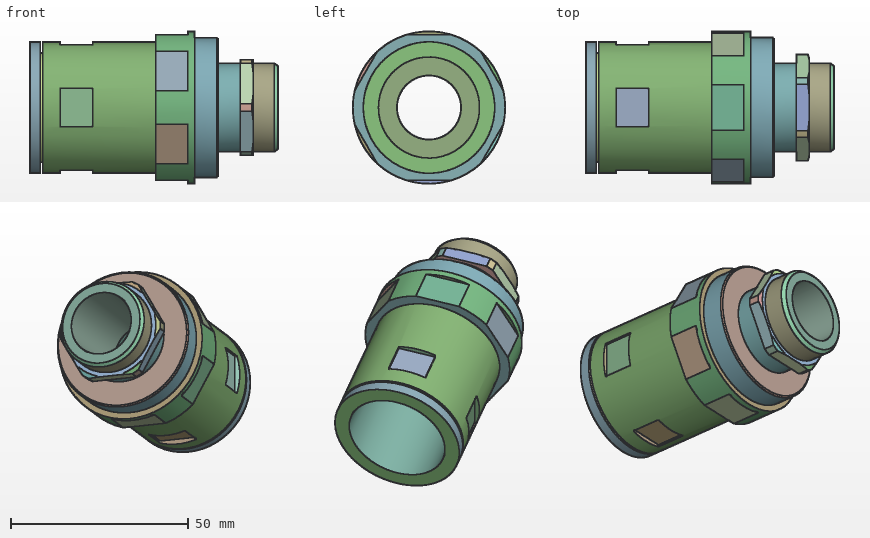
import cadquery as cq
import math


TOTAL_LENGTH = 70.0
FLANGE_END = 3.0
BARREL_START = 3.65
POCKET_START = 8.55
POCKET_END = 17.7
COLLAR_START = 35.5
FLATS_END = 44.5
COLLAR_END = 46.4
SHOULDER_END = 53.05
HEX_START = 59.35
HEX_END = 63.0
SLEEVE_END = COLLAR_START

BARREL_DIAMETER = 37.0
COLLAR_DIAMETER = 43.0
SHOULDER_DIAMETER = 39.5
SPIGOT_DIAMETER = 25.0
HEX_CORNER_DIAMETER = 30.0
SLEEVE_DIAMETER = 30.9
SLEEVE_BORE = 28.5
CABLE_BORE = 18.0

COLLAR_ACROSS_FLATS = 41.0
COLLAR_FLAT_COUNT = 6
POCKET_ACROSS_FLOORS = 34.15
POCKET_WIDTH = 10.9
POCKET_COUNT = 4
POCKET_CORNER_RADIUS = 0.3
HEX_ACROSS_FLATS = 27.0
HEX_CHAMFER_LENGTH = 0.4
HEX_CHAMFER_HEIGHT = 1.25
SHOULDER_CHAMFER = 0.4
SPIGOT_CHAMFER_LENGTH = 1.1
SPIGOT_CHAMFER_HEIGHT = 0.85


def rod(start, end, diameter):
    """Cylinder along X between two axial positions."""
    return cq.Workplane("YZ").workplane(offset=start).circle(diameter / 2).extrude(end - start)


def copies_around_axis(block, count):
    """Evenly spaced copies of a block, turned about the X axis."""
    return [block.rotate((0, 0, 0), (1, 0, 0), i * 360 / count) for i in range(count)]


def cutting_block(start, end, width, floor_height):
    """Block standing on a flat floor above the axis, tall enough to clear the collar."""
    block = cq.Workplane("XY").box(end - start, width, COLLAR_DIAMETER / 2, centered=(False, True, False))
    return block.translate((start, 0, floor_height))


def make_hex():
    """Hexagon with rounded corners, bevelled on its +X face."""
    blank = rod(HEX_START, HEX_END, HEX_CORNER_DIAMETER)
    blank = blank.faces(">X").chamfer(HEX_CHAMFER_LENGTH, HEX_CHAMFER_HEIGHT)
    prism = (
        cq.Workplane("YZ")
        .workplane(offset=HEX_START)
        .polygon(6, HEX_ACROSS_FLATS / math.cos(math.pi / 6))
        .extrude(HEX_END - HEX_START)
    )
    return blank.intersect(prism)


def make_housing():
    """Barrel, collar, shoulder and hexagonal spigot, with a stepped bore."""
    barrel = rod(BARREL_START, COLLAR_START, BARREL_DIAMETER)
    pocket = cutting_block(POCKET_START, POCKET_END, POCKET_WIDTH, POCKET_ACROSS_FLOORS / 2)
    pocket = pocket.edges("|Z").fillet(POCKET_CORNER_RADIUS)
    for cutter in copies_around_axis(pocket, POCKET_COUNT):
        barrel = barrel.cut(cutter)

    collar = rod(COLLAR_START, COLLAR_END, COLLAR_DIAMETER)
    flat = cutting_block(COLLAR_START, FLATS_END, COLLAR_DIAMETER, COLLAR_ACROSS_FLATS / 2)
    for cutter in copies_around_axis(flat, COLLAR_FLAT_COUNT):
        collar = collar.cut(cutter)

    shoulder = rod(COLLAR_END, SHOULDER_END, SHOULDER_DIAMETER).faces(">X").chamfer(SHOULDER_CHAMFER)
    spigot = rod(SHOULDER_END, TOTAL_LENGTH, SPIGOT_DIAMETER)
    spigot = spigot.faces(">X").chamfer(SPIGOT_CHAMFER_LENGTH, SPIGOT_CHAMFER_HEIGHT)

    outside = barrel.union(collar).union(shoulder).union(spigot).union(make_hex())
    sleeve_recess = rod(BARREL_START, SLEEVE_END, SLEEVE_DIAMETER)
    cable_hole = rod(SLEEVE_END, TOTAL_LENGTH, CABLE_BORE)
    return outside.cut(sleeve_recess).cut(cable_hole)


def make_sleeve():
    """Thin tube seated in the housing recess, its flange standing clear of the barrel."""
    flange = rod(0, FLANGE_END, BARREL_DIAMETER)
    tube = rod(FLANGE_END, SLEEVE_END, SLEEVE_DIAMETER)
    return flange.union(tube).cut(rod(0, SLEEVE_END, SLEEVE_BORE))


housing = make_housing()
sleeve = make_sleeve()
result = cq.Compound.makeCompound([housing.val(), sleeve.val()])